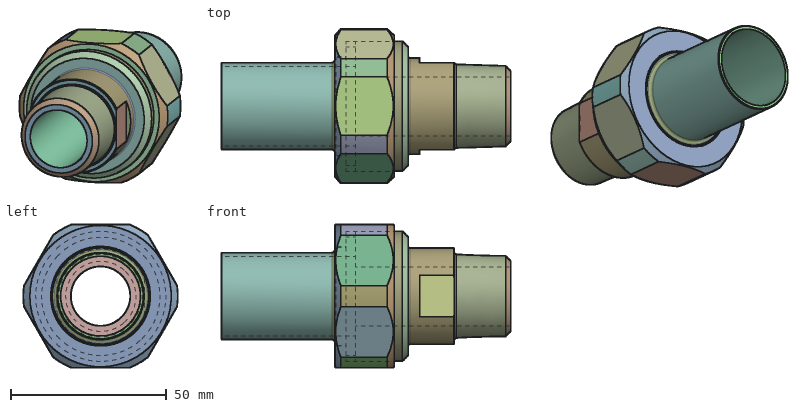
import cadquery as cq
import math


overall_length = 93.0
nut_start = 36.5
nut_end = 55.6
nut_seat = 40.0
joint_face = 43.0
ring_end = 60.1
shoulder_face = 74.9
flat_start = 63.7

pipe_diameter = 28.0
pipe_bore = 25.6
pipe_end_chamfer = 0.25
collar_diameter = 31.5
collar_fillet = 1.0
collar_edge_chamfer = 0.25
collar_start = 35.5
flange_diameter = 38.0

across_flats = 46.0
corner_diameter = 1.08 * across_flats
nut_bore_clearance = 0.25
nut_bore = collar_diameter + 2 * nut_bore_clearance
front_chamfer_length = 1.9
rear_chamfer_length = 2.35
nut_face_diameter = 45.4

ring_diameter = 41.8
ring_chamfer = 1.9
wrench_diameter = 31.0
wrench_edge_chamfer = 0.3
wrench_root_fillet = 0.4
wrench_flats = 28.0
body_bore = 19.0
neck_length = 0.5
neck_rise = 0.4
thread_gauge_diameter = 26.441
thread_gauge_length = 9.5
thread_taper = 1 / 16
thread_end_chamfer = 1.7


def revolve_about_x(profile):
    """Turn a closed (axial, radial) profile about the X axis."""
    return profile.close().revolve(360, (0, 0, 0), (1, 0, 0))


def cylinder_along_x(diameter, start, end):
    return cq.Workplane("YZ", origin=(start, 0, 0)).circle(diameter / 2).extrude(end - start)


def make_tail():
    pipe_radius = pipe_diameter / 2
    collar_radius = collar_diameter / 2
    collar_face = collar_start + collar_fillet
    arc_offset = collar_fillet * math.sqrt(0.5)
    fillet_middle = (collar_start + arc_offset, pipe_radius + collar_fillet - arc_offset)
    profile = (
        cq.Workplane("XY")
        .moveTo(0, pipe_bore / 2)
        .lineTo(0, pipe_radius - pipe_end_chamfer)
        .lineTo(pipe_end_chamfer, pipe_radius)
        .lineTo(collar_start, pipe_radius)
        .threePointArc(fillet_middle, (collar_face, pipe_radius + collar_fillet))
        .lineTo(collar_face, collar_radius - collar_edge_chamfer)
        .lineTo(collar_face + collar_edge_chamfer, collar_radius)
        .lineTo(nut_seat, collar_radius)
        .lineTo(nut_seat, flange_diameter / 2)
        .lineTo(joint_face, flange_diameter / 2)
        .lineTo(joint_face, pipe_bore / 2)
    )
    return revolve_about_x(profile)


def make_nut():
    hexagon = (
        cq.Workplane("YZ", origin=(nut_start, 0, 0))
        .polygon(6, across_flats / math.cos(math.pi / 6))
        .extrude(nut_end - nut_start)
    )
    turned_envelope = revolve_about_x(
        cq.Workplane("XY")
        .moveTo(nut_start, 0)
        .lineTo(nut_start, nut_face_diameter / 2)
        .lineTo(nut_start + front_chamfer_length, corner_diameter / 2)
        .lineTo(nut_end - rear_chamfer_length, corner_diameter / 2)
        .lineTo(nut_end, nut_face_diameter / 2)
        .lineTo(nut_end, 0)
    )
    front_bore = cylinder_along_x(nut_bore, nut_start, nut_seat)
    threaded_bore = cylinder_along_x(ring_diameter, nut_seat, nut_end)
    return hexagon.intersect(turned_envelope).cut(front_bore).cut(threaded_bore)


def thread_radius(x):
    gauge_plane = overall_length - thread_gauge_length
    return (thread_gauge_diameter + (gauge_plane - x) * thread_taper) / 2


def make_body():
    thread_start = shoulder_face + neck_length
    chamfer_start = overall_length - thread_end_chamfer
    wrench_radius = wrench_diameter / 2
    root_arc_offset = wrench_root_fillet * (1 - math.sqrt(0.5))
    turned = revolve_about_x(
        cq.Workplane("XY")
        .moveTo(joint_face, body_bore / 2)
        .lineTo(joint_face, ring_diameter / 2)
        .lineTo(ring_end - ring_chamfer, ring_diameter / 2)
        .lineTo(ring_end, ring_diameter / 2 - ring_chamfer)
        .lineTo(ring_end, wrench_radius + wrench_root_fillet)
        .threePointArc(
            (ring_end + root_arc_offset, wrench_radius + root_arc_offset),
            (ring_end + wrench_root_fillet, wrench_radius),
        )
        .lineTo(shoulder_face - wrench_edge_chamfer, wrench_radius)
        .lineTo(shoulder_face, wrench_radius - wrench_edge_chamfer)
        .lineTo(shoulder_face, thread_radius(thread_start) + neck_rise)
        .lineTo(thread_start, thread_radius(thread_start))
        .lineTo(chamfer_start, thread_radius(chamfer_start))
        .lineTo(overall_length, thread_radius(chamfer_start) - thread_end_chamfer)
        .lineTo(overall_length, body_bore / 2)
    )
    flat_length = shoulder_face - flat_start
    for side in (-1, 1):
        cutter_center = (flat_start + flat_length / 2, side * (wrench_flats + wrench_diameter) / 2, 0)
        flat_cutter = cq.Workplane(origin=cutter_center).box(flat_length, wrench_diameter, wrench_diameter)
        turned = turned.cut(flat_cutter)
    return turned


tail = make_tail()
nut = make_nut()
body = make_body()

result = cq.Compound.makeCompound([tail.val(), nut.val(), body.val()])